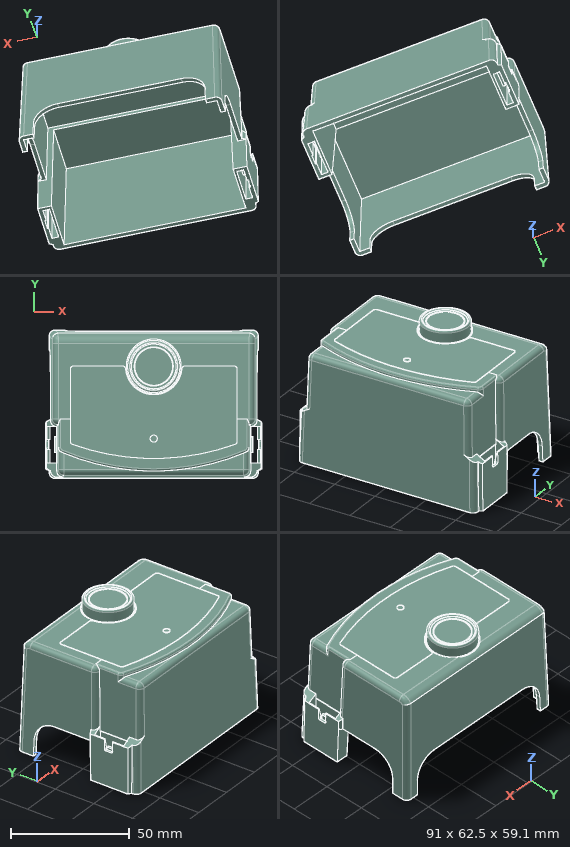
import cadquery as cq
import math

draft = 1.5
wall = 2.0
edge_radius = 2.5
top_z = 53.9
knob_top_z = 59.1

body_half_x = 44.0
body_half_y = 31.26
rear_body_front_y = -10.0

front_half_x = 41.5
front_body_back_y = 0.0
shoulder_z = 52.0

back_slope_length = 4.4
back_slope_drop = 2.55

lid_back_y = -6.2
lid_arch_end_y = -17.7
lid_front_y = -28.1
lid_bottom_z = 49.4
lid_corner_radius = 2.2
lid_edge_radius = 0.9

flange_half_x = 45.5
flange_back_y = -7.2
flange_front_y = -27.2
flange_draft = 0.8
flange_chamfer_y = 1.0
flange_root_inset = 0.3
ledge_angle = 30.0
ledge_outer_x = 45.0
ledge_outer_z = 22.6

slot_back_y = -9.5
slot_front_y = -24.7
slot_inner_x = 40.7
slot_outer_top_x = 44.9
slot_outer_low_x = 43.6
ramp_bottom_z = 17.1
notch_y = -16.9
notch_width = 4.1
notch_radius = 0.7
groove_outer_x = 44.1
latch_y = -17.0
latch_width = 6.7
latch_outer_x = 41.8
latch_top_z = 16.6
latch_height = 5.5

arch_front_y = -7.8
arch_back_y = 22.9
arch_top_z = 18.0
arch_radius = 10.5
rear_arch_half_x = 37.5

label_half_x = 35.1
label_back_y = 16.1
label_corner_y = -16.6
label_front_y = -22.8
label_radius = 1.3
label_depth = 0.2
label_knob_gap = 0.4
indicator_diameter = 3.0
indicator_y = -14.5
indicator_depth = 0.5

knob_y = 15.9
knob_diameter = 22.0
knob_clearance_diameter = 23.1
knob_clearance_depth = 0.5
knob_rim_radius = 0.7
knob_dish_diameter = 18.8
knob_dish_depth = 0.7
knob_dish_chamfer = 0.55
knob_groove_outer = 16.5
knob_groove_inner = 15.9
knob_groove_depth = 0.5

through = 182.0
mid_z = 27.3
hull_height = 36.4


def box(half_x, back_y, front_y, bottom_z, top):
    """Plain box, symmetric in X."""
    height = top - bottom_z
    return (
        cq.Workplane("XY")
        .box(2 * half_x, back_y - front_y, height, centered=(True, False, False))
        .translate((0, front_y, bottom_z))
    )


def drafted_box(half_x, back_y, front_y, height):
    """Box standing on the base plane, with all four sides leaning inwards."""
    return (
        cq.Workplane("XY")
        .center(0, (back_y + front_y) / 2)
        .rect(2 * half_x, back_y - front_y)
        .extrude(height, taper=draft)
    )


def leaning(z):
    """Distance that a drafted wall has moved inwards at height z."""
    return z * math.tan(math.radians(draft))


def both_sides(solid):
    """The solid together with its mirror image across the YZ plane."""
    return solid.union(solid.mirror("YZ"))


def arched_plate(half_x, back_y, corner_y, front_y, bottom_z, height):
    """Plate with straight sides and an arched front edge."""
    return (
        cq.Workplane("XY", origin=(0, 0, bottom_z))
        .moveTo(-half_x, back_y)
        .lineTo(-half_x, corner_y)
        .threePointArc((0, front_y), (half_x, corner_y))
        .lineTo(half_x, back_y)
        .close()
        .extrude(height)
    )


def ledge_z(x):
    """Height of the sloped ledge at a distance x from the middle."""
    return ledge_outer_z + (ledge_outer_x - x) * math.tan(math.radians(ledge_angle))


def make_rear_body():
    """Drafted body with rounded edges, under a hood that slopes down to the back wall."""
    walls = drafted_box(body_half_x, body_half_y, rear_body_front_y, top_z)
    walls = walls.edges("not #Z").fillet(edge_radius)
    slope_radius = (back_slope_length**2 + back_slope_drop**2) / (2 * back_slope_drop)
    hood_back_y = body_half_y - back_slope_length + slope_radius
    hood = drafted_box(body_half_x, hood_back_y, rear_body_front_y, top_z)
    hood = hood.faces(">Z").edges(">Y").fillet(slope_radius)
    front_edge = hood.faces("<Y").edges(">Z")
    hood = hood.edges("not |X").edges("not <Z").add(front_edge).fillet(edge_radius)
    return hood.intersect(walls)


def make_front_body():
    body = drafted_box(front_half_x, front_body_back_y, -body_half_y, shoulder_z)
    return body.edges("not <Z").fillet(edge_radius)


def make_lid():
    """Raised plate whose sides continue the walls of the front body."""
    outline = arched_plate(
        body_half_x, lid_back_y, lid_arch_end_y, lid_front_y, lid_bottom_z, top_z - lid_bottom_z
    )
    lid = outline.intersect(drafted_box(front_half_x, body_half_y, -body_half_y, top_z))
    lid = lid.edges("not (<Z or >Z)").edges("<Y").fillet(lid_corner_radius)
    return lid.faces(">Z").edges("not >Y").fillet(lid_edge_radius)


def make_lower_hull():
    """Lower front walls and side flanges, trimmed by the sloped ledge."""
    hull = drafted_box(body_half_x, body_half_y, -body_half_y, hull_height)
    hull = hull.edges("not #Z").fillet(edge_radius)
    hull = hull.intersect(box(through, flange_back_y, -body_half_y, 0, through))
    root_x = body_half_x - flange_root_inset
    flange_plate = (
        cq.Workplane("XY")
        .moveTo(root_x, flange_back_y + flange_chamfer_y)
        .lineTo(flange_half_x, flange_back_y)
        .lineTo(flange_half_x, flange_front_y)
        .lineTo(root_x, flange_front_y - flange_chamfer_y)
        .lineTo(-root_x, flange_front_y - flange_chamfer_y)
        .lineTo(-flange_half_x, flange_front_y)
        .lineTo(-flange_half_x, flange_back_y)
        .lineTo(-root_x, flange_back_y + flange_chamfer_y)
        .close()
        .extrude(hull_height, taper=flange_draft)
    )
    below_ledge = (
        cq.Workplane("XZ", origin=(0, through / 2, 0))
        .moveTo(-flange_half_x, 0)
        .lineTo(flange_half_x, 0)
        .lineTo(flange_half_x, ledge_z(flange_half_x))
        .lineTo(0, ledge_z(0))
        .lineTo(-flange_half_x, ledge_z(flange_half_x))
        .close()
        .extrude(through)
    )
    return hull.union(flange_plate).intersect(below_ledge)


def make_cavity():
    """Hollow inside of the cover, open at the base."""
    rear = drafted_box(body_half_x - wall, body_half_y - wall, arch_front_y, top_z - wall)
    front = drafted_box(
        front_half_x - wall, front_body_back_y, wall - body_half_y, shoulder_z - wall
    )
    return rear.union(front)


def drafted_opening(plane, first, last):
    """Opening through the part on a given plane, narrowing upwards."""
    return (
        cq.Workplane(plane)
        .moveTo(first, 0)
        .lineTo(first + leaning(arch_top_z), arch_top_z)
        .lineTo(last - leaning(arch_top_z), arch_top_z)
        .lineTo(last, 0)
        .close()
        .extrude(through / 2)
    )


def make_side_arches():
    arch = drafted_opening("YZ", arch_front_y, arch_back_y)
    return both_sides(arch.edges("|X").edges(">Z").edges(">Y").fillet(arch_radius))


def make_rear_arch():
    arch = drafted_opening("XZ", -rear_arch_half_x, rear_arch_half_x).mirror("XZ")
    return arch.edges("|Y and >Z").fillet(arch_radius)


def make_slots():
    """Latch slots beside the front body, with a lead-in ramp, a groove and a notch in the outer wall."""
    slot = (
        cq.Workplane("XZ", origin=(0, slot_back_y, 0))
        .moveTo(slot_inner_x, 0)
        .lineTo(slot_outer_low_x, 0)
        .lineTo(slot_outer_low_x, ramp_bottom_z)
        .lineTo(slot_outer_top_x, ledge_outer_z)
        .lineTo(slot_outer_top_x, mid_z)
        .lineTo(slot_inner_x, mid_z)
        .close()
        .extrude(slot_back_y - slot_front_y)
    )
    notch_back_y = notch_y + notch_width / 2
    notch_front_y = notch_y - notch_width / 2
    groove = box(groove_outer_x, notch_back_y, notch_front_y, 0, mid_z)
    notch = box(through / 2, notch_back_y, notch_front_y, ramp_bottom_z, mid_z)
    notch = notch.edges("|X and <Z").fillet(notch_radius)
    beside_body = box(through / 2, slot_back_y, slot_front_y, 0, mid_z).cut(
        box(front_half_x, slot_back_y, slot_front_y, 0, mid_z)
    )
    return both_sides(slot).union(groove.union(notch).intersect(beside_body))


def make_latches():
    """Catches on the front body, facing into the slots."""
    back_y = latch_y + latch_width / 2
    front_y = latch_y - latch_width / 2
    bottom_z = latch_top_z - latch_height
    latches = box(latch_outer_x, back_y, front_y, bottom_z, latch_top_z)
    return latches.cut(box(front_half_x - wall / 2, back_y, front_y, bottom_z, latch_top_z))


def make_label_recess():
    """Shallow label field that leaves room around the knob."""
    recess = arched_plate(
        label_half_x, label_back_y, label_corner_y, label_front_y, top_z - label_depth, label_depth
    )
    clearance = (
        cq.Workplane("XY", origin=(0, knob_y, 0))
        .transformed(rotate=(0, 0, 90))
        .circle(knob_clearance_diameter / 2 + label_knob_gap)
        .extrude(through)
    )
    return recess.cut(clearance).edges("|Z").fillet(label_radius)


def disc(diameter, y, top, depth):
    """Upright cylinder hanging down from its top face."""
    return cq.Workplane("XY", origin=(0, y, top)).circle(diameter / 2).extrude(-depth)


def make_knob():
    """Round knob with a dished top and a fine ring groove."""
    bottom_z = top_z - wall
    dish_floor_z = knob_top_z - knob_dish_depth
    knob = disc(knob_diameter, knob_y, knob_top_z, knob_top_z - bottom_z)
    dish = disc(knob_dish_diameter, knob_y, knob_top_z, knob_dish_depth)
    groove = disc(knob_groove_outer, knob_y, dish_floor_z, knob_groove_depth).cut(
        disc(knob_groove_inner, knob_y, dish_floor_z, knob_groove_depth)
    )
    knob = knob.cut(dish)
    inner_edge = cq.selectors.RadiusNthSelector(0)
    outer_edge = cq.selectors.RadiusNthSelector(-1)
    knob = knob.faces(">Z").edges(outer_edge).fillet(knob_rim_radius)
    knob = knob.faces(">Z").edges(inner_edge).chamfer(knob_dish_chamfer)
    return knob.cut(groove)


slots = make_slots()
slots_below_ledge = slots.intersect(box(through / 2, 0, -body_half_y, 0, ledge_outer_z))

cover = make_rear_body().union(make_lower_hull()).cut(slots)
cover = cover.union(make_front_body().cut(slots_below_ledge))
cover = cover.union(make_lid())
cover = cover.cut(make_cavity()).cut(make_side_arches()).cut(make_rear_arch())
cover = cover.union(make_latches())
cover = cover.cut(make_label_recess())
cover = cover.cut(disc(indicator_diameter, indicator_y, top_z, indicator_depth))
cover = cover.cut(disc(knob_clearance_diameter, knob_y, top_z, knob_clearance_depth))

result = cover.union(make_knob())